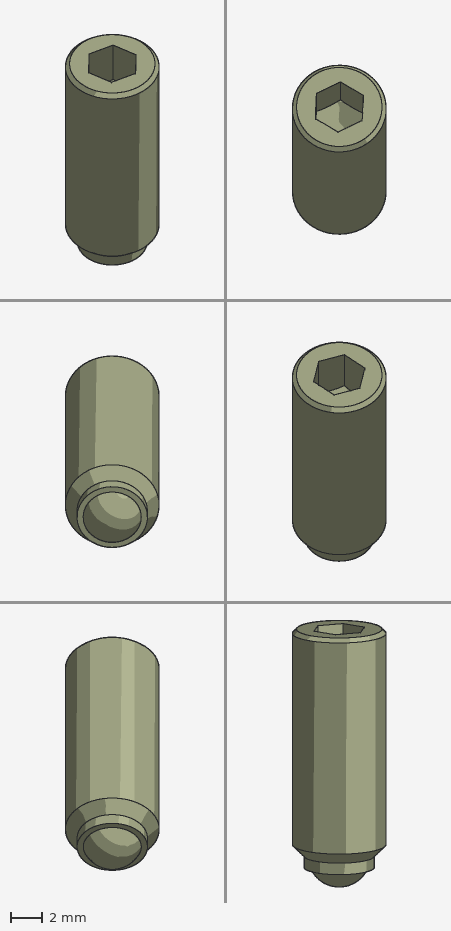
import cadquery as cq
import math

total_length = 16.8
body_diameter = 6.0
body_radius = body_diameter / 2

top_chamfer = 0.27
hex_across_flats = 3.0
hex_depth = 3.0
drill_point_angle = 120.0

ball_diameter = 4.0
ball_radius = ball_diameter / 2
ball_projection = 1.25
collar_diameter = 4.5
collar_radius = collar_diameter / 2
collar_height = 0.75
nose_chamfer = body_radius - collar_radius

ball_center_z = ball_radius
collar_bottom_z = ball_projection
collar_top_z = collar_bottom_z + collar_height
cylinder_bottom_z = collar_top_z + nose_chamfer
hex_floor_z = total_length - hex_depth


def make_ball():
    """Full sphere seated in the nose, with only its cap projecting."""
    return cq.Workplane("XY").sphere(ball_radius).translate((0, 0, ball_center_z))


def turned_blank():
    """Stepped and chamfered outside of the screw, revolved about Z."""
    return (
        cq.Workplane("XZ")
        .moveTo(0, collar_bottom_z)
        .lineTo(collar_radius, collar_bottom_z)
        .lineTo(collar_radius, collar_top_z)
        .lineTo(body_radius, cylinder_bottom_z)
        .lineTo(body_radius, total_length - top_chamfer)
        .lineTo(body_radius - top_chamfer, total_length)
        .lineTo(0, total_length)
        .close()
        .revolve(360, (0, 0, 0), (0, 1, 0))
    )


def hex_socket():
    """Hexagonal prism with a conical drill point that reaches the hexagon's corners."""
    corner_radius = hex_across_flats / math.sqrt(3)
    point_depth = corner_radius / math.tan(math.radians(drill_point_angle / 2))
    hexagon = (
        cq.Workplane("XY")
        .workplane(offset=hex_floor_z - point_depth)
        .polygon(6, 2 * corner_radius)
        .extrude(hex_depth + point_depth)
    )
    pointed_drill = (
        cq.Workplane("XZ")
        .moveTo(0, hex_floor_z - point_depth)
        .lineTo(corner_radius, hex_floor_z)
        .lineTo(corner_radius, total_length)
        .lineTo(0, total_length)
        .close()
        .revolve(360, (0, 0, 0), (0, 1, 0))
    )
    return hexagon.intersect(pointed_drill)


ball = make_ball()
screw = turned_blank().cut(hex_socket()).cut(ball)

result = cq.Compound.makeCompound([screw.val(), ball.val()])